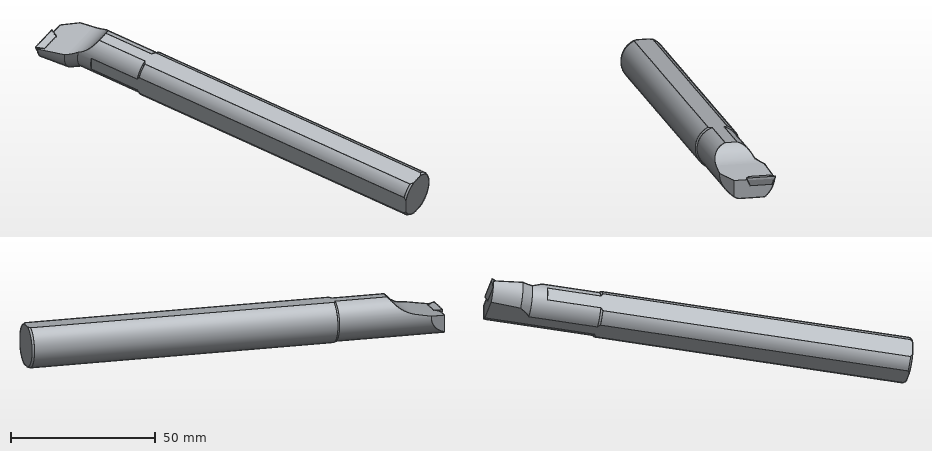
import cadquery as cq

length = 150.5
shank_radius = 8.0
neck_radius = 7.5
neck_end = 39.6
step_length = 0.8
end_chamfer_length = 0.8
end_chamfer_depth = 0.5
flat_height = 7.2
side_flat_offset = 7.1
side_flat_start = 20.6

head_front = 0.6
bulge_radius = 9.0
bulge_front_side = -10.7
bulge_back_side = -9.8
bulge_back = 11.3
bulge_end = 15.2
corner_length = 5.9
corner_side = 3.8

insert_back = 2.9
rake_low = -0.2
rake_end = 12.2
rake_high = 1.7
scoop_end = side_flat_start

insert_top = 0.2
insert_land = -0.8
insert_bottom = -2.9
insert_inner = -0.5
insert_tip = -10.8
plan_taper = 1.4
inner_relief = 1.2
tip_relief = 0.8

cutter_margin = 15.0


def make_round_bar():
    """Neck, conical step and shank, turned about the X axis."""
    outline = [
        (head_front, 0),
        (head_front, neck_radius),
        (neck_end, neck_radius),
        (neck_end + step_length, shank_radius),
        (length - end_chamfer_length, shank_radius),
        (length, shank_radius - end_chamfer_depth),
        (length, 0),
    ]
    return cq.Workplane("XY").polyline(outline).close().revolve(360, (0, 0, 0), (1, 0, 0))


def loft_discs(start, start_radius, start_side, end, end_radius, end_side):
    """Skewed cone between two discs, each placed by its furthest -Y point."""
    return (
        cq.Workplane("YZ", origin=(start, start_side + start_radius, 0))
        .circle(start_radius)
        .workplane(offset=end - start)
        .center(end_side + end_radius - start_side - start_radius, 0)
        .circle(end_radius)
        .loft(ruled=True)
    )


def make_bulge():
    """Part of the head that stands out from the neck on the -Y side."""
    front = loft_discs(
        head_front, bulge_radius, bulge_front_side, bulge_back, bulge_radius, bulge_back_side
    )
    back = loft_discs(
        bulge_back, bulge_radius, bulge_back_side, bulge_end, neck_radius, -neck_radius
    )
    side_half = cq.Workplane("XY").box(
        length, cutter_margin, 2 * cutter_margin, centered=(False, False, True)
    ).translate((0, -cutter_margin, 0))
    return front.union(back).intersect(side_half)


def cut_flats(bar):
    """Top and bottom flats all along, and the -Y flat behind the head."""
    slab = cq.Workplane("XY").box(
        length, 2 * cutter_margin, 2 * flat_height, centered=(False, True, True)
    )
    side_cutter = cq.Workplane("XY").box(
        length - side_flat_start, cutter_margin, 2 * cutter_margin, centered=(False, False, True)
    ).translate((side_flat_start, -side_flat_offset - cutter_margin, 0))
    return bar.intersect(slab).cut(side_cutter)


def cut_front_corner(bar):
    """Upright bevel on the +Y front corner."""
    corner = (
        cq.Workplane("XY", origin=(0, 0, -cutter_margin))
        .moveTo(head_front, corner_side)
        .lineTo(head_front + corner_length, neck_radius)
        .lineTo(head_front + corner_length, cutter_margin)
        .lineTo(head_front, cutter_margin)
        .close()
        .extrude(2 * cutter_margin)
    )
    return bar.cut(corner)


def cut_rake(bar):
    """Sloping rake face and the tangent scoop behind it."""
    rake_run = rake_end - insert_back
    rake_rise = rake_high - rake_low
    rake_at_zero = rake_low - insert_back * rake_rise / rake_run
    cutter = (
        cq.Workplane("XZ", origin=(0, cutter_margin, 0))
        .moveTo(0, rake_at_zero)
        .lineTo(rake_end, rake_high)
        .tangentArcPoint((scoop_end, flat_height), relative=False)
        .lineTo(scoop_end, cutter_margin)
        .lineTo(0, cutter_margin)
        .close()
        .extrude(2 * cutter_margin)
    )
    return bar.cut(cutter)


def insert_plan(height, inner, tip):
    """Trapezoid of the insert at one height, narrowing towards the back."""
    return cq.Workplane("XY", origin=(0, 0, height)).polyline([
        (0, inner),
        (0, tip),
        (insert_back, tip + plan_taper),
        (insert_back, inner - plan_taper),
    ]).close()


def make_insert():
    """Cutting tip with a falling chip face, an upright land and relieved flanks."""
    top = insert_plan(insert_top, insert_inner, insert_tip).wires().val()
    bottom = insert_plan(
        insert_bottom, insert_inner - inner_relief, insert_tip + tip_relief
    ).wires().val()
    blank = cq.Workplane(cq.Solid.makeLoft([bottom, top], True))
    side_profile = (
        cq.Workplane("XZ", origin=(0, cutter_margin, 0))
        .polyline([
            (0, insert_top),
            (0, insert_land),
            (head_front, insert_bottom),
            (insert_back, insert_bottom),
            (insert_back, rake_low),
        ])
        .close()
        .extrude(2 * cutter_margin)
    )
    return blank.intersect(side_profile)


def make_holder(insert):
    """Bar with its head, hollowed where the insert sits."""
    bar = make_round_bar().union(make_bulge())
    bar = cut_flats(bar)
    bar = cut_front_corner(bar)
    bar = cut_rake(bar)
    return bar.cut(insert)


insert = make_insert()
holder = make_holder(insert)

result = cq.Compound.makeCompound([holder.val(), insert.val()])